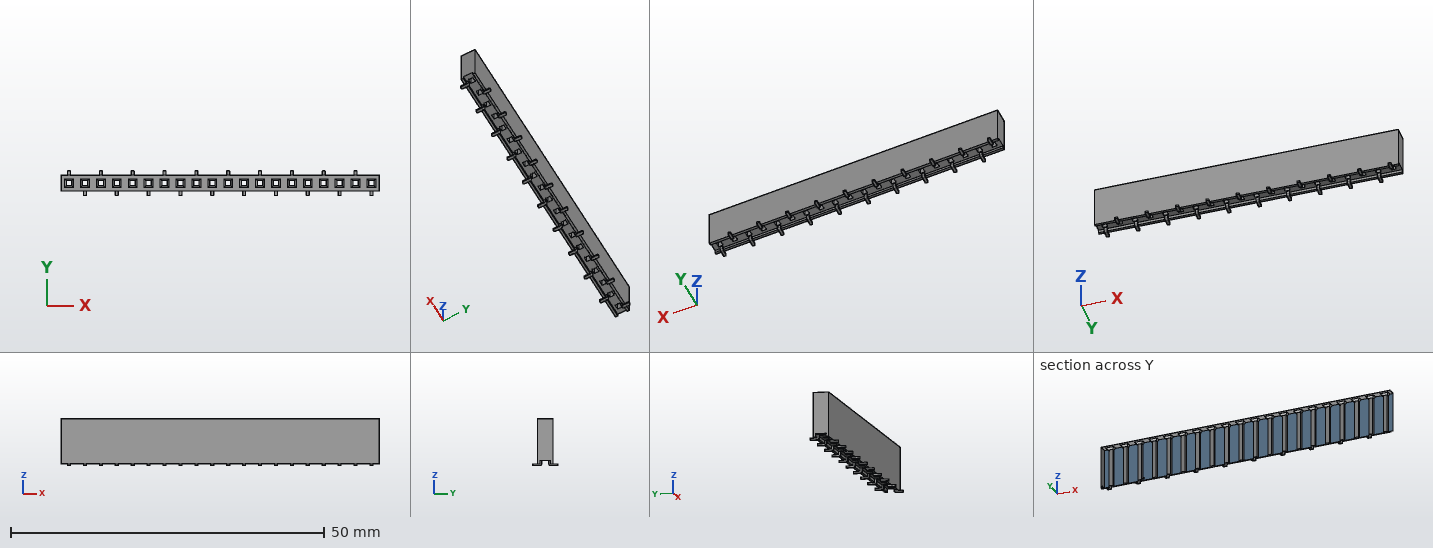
import cadquery as cq


CONTACT_COUNT = 20
PITCH = 2.54

LEAD_SPAN = 4.0
LEAD_WIDTH = 0.5
LEAD_THICKNESS = 0.3
LEAD_INNER_OFFSET = 0.55
BEND_RADIUS = LEAD_THICKNESS
TIP_RADIUS = 0.15

OVERALL_HEIGHT = 7.5
HOUSING_LENGTH = CONTACT_COUNT * PITCH
HOUSING_WIDTH = PITCH
HOUSING_BOTTOM = LEAD_THICKNESS
HOUSING_HEIGHT = OVERALL_HEIGHT - HOUSING_BOTTOM

CHANNEL_HALF_WIDTH = LEAD_INNER_OFFSET + LEAD_THICKNESS
CHANNEL_DEPTH = 0.5
CHANNEL_CEILING = HOUSING_BOTTOM + CHANNEL_DEPTH
LEAD_EMBED = 0.5

SOCKET_SIZE = 0.8
MOUTH_SIZE = 1.4
FUNNEL_DEPTH = (MOUTH_SIZE - SOCKET_SIZE) / 2


def contact_x(index):
    """X position of a contact, with the row centred on the origin."""
    return (index - (CONTACT_COUNT - 1) / 2) * PITCH


def make_housing():
    """Rectangular bar with a full-length channel in its underside."""
    bar = (
        cq.Workplane("XY", origin=(0, 0, HOUSING_BOTTOM))
        .rect(HOUSING_LENGTH, HOUSING_WIDTH)
        .extrude(HOUSING_HEIGHT)
    )
    channel = (
        cq.Workplane("XY", origin=(0, 0, HOUSING_BOTTOM))
        .rect(HOUSING_LENGTH, 2 * CHANNEL_HALF_WIDTH)
        .extrude(CHANNEL_DEPTH)
    )
    return bar.cut(channel)


def make_socket():
    """Cutter for one socket: a square through hole and its tapered mouth."""
    hole = cq.Workplane("XY").rect(SOCKET_SIZE, SOCKET_SIZE).extrude(OVERALL_HEIGHT)
    funnel = (
        cq.Workplane("XY", origin=(0, 0, OVERALL_HEIGHT - FUNNEL_DEPTH))
        .rect(SOCKET_SIZE, SOCKET_SIZE)
        .workplane(offset=FUNNEL_DEPTH)
        .rect(MOUTH_SIZE, MOUTH_SIZE)
        .loft(combine=True)
    )
    return hole.union(funnel)


def make_lead():
    """L-shaped lead with a rounded outer bend and a round-cornered foot pointing toward +Y."""
    tip = LEAD_SPAN / 2
    inner = LEAD_INNER_OFFSET
    outer = LEAD_INNER_OFFSET + LEAD_THICKNESS
    top = CHANNEL_CEILING + LEAD_EMBED
    return (
        cq.Workplane("YZ")
        .moveTo(tip, 0)
        .lineTo(tip, LEAD_THICKNESS)
        .lineTo(outer, LEAD_THICKNESS)
        .lineTo(outer, top)
        .lineTo(inner, top)
        .lineTo(inner, BEND_RADIUS)
        .radiusArc((inner + BEND_RADIUS, 0), -BEND_RADIUS)
        .close()
        .extrude(LEAD_WIDTH / 2, both=True)
        .edges("|Z and >Y")
        .fillet(TIP_RADIUS)
    )


def build_part():
    """Housing with a socket at every contact and leads on alternate sides."""
    part = make_housing()
    socket = make_socket()
    back_lead = make_lead()
    front_lead = back_lead.mirror("XZ")
    for index in range(CONTACT_COUNT):
        position = (contact_x(index), 0, 0)
        lead = back_lead if index % 2 == 0 else front_lead
        part = part.cut(socket.translate(position))
        part = part.union(lead.translate(position))
    return part


result = build_part()